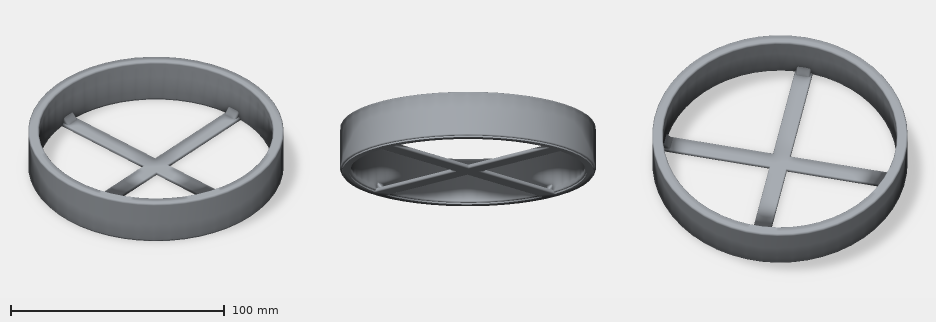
import cadquery as cq

outer_diameter = 119.5
inner_diameter = 109.5
ring_height = 22.0
rim_radius = 1.0

foot_height = 0.7
foot_inset = 0.8
ledge_radius = 0.6

bar_width = 8.4
bar_thickness = 1.9
bar_edge_radius = 0.7

gusset_run = 3.0
gusset_width = 6.8
gusset_edge_radius = 0.8

outer_radius = outer_diameter / 2
inner_radius = inner_diameter / 2
embedded_radius = (outer_radius + inner_radius) / 2


def make_ring():
    """Ring with rounded rims, standing on a foot that is narrower than the wall."""
    body = cq.Workplane("XY").workplane(offset=foot_height)
    body = body.circle(outer_radius).circle(inner_radius).extrude(ring_height - foot_height)
    body = body.faces(">Z").edges().fillet(rim_radius)
    body = body.faces("<Z").edges().fillet(ledge_radius)
    foot = cq.Workplane("XY").circle(outer_radius - foot_inset).circle(inner_radius + foot_inset)
    return body.union(foot.extrude(foot_height))


def make_cross():
    """Two crossed bars with their long edges rounded."""
    length = 2 * embedded_radius
    along_x = cq.Workplane("XY").box(length, bar_width, bar_thickness, centered=(True, True, False))
    along_x = along_x.edges("|X").fillet(bar_edge_radius)
    return along_x.union(along_x.rotate((0, 0, 0), (0, 0, 1), 90))


def make_gusset(angle):
    """45 degree wedge on top of a bar end, rounded along the sides of its slope."""
    toe = inner_radius - gusset_run
    rise = embedded_radius - toe
    wedge = (
        cq.Workplane("XZ")
        .moveTo(toe, bar_thickness)
        .lineTo(embedded_radius, bar_thickness)
        .lineTo(embedded_radius, bar_thickness + rise)
        .close()
        .extrude(gusset_width / 2, both=True)
    )
    slope_sides = wedge.faces("<(1, 0, -1)").edges("not |Y")
    return slope_sides.fillet(gusset_edge_radius).rotate((0, 0, 0), (0, 0, 1), angle)


result = make_ring().union(make_cross())
for angle in (0, 90, 180, 270):
    result = result.union(make_gusset(angle))